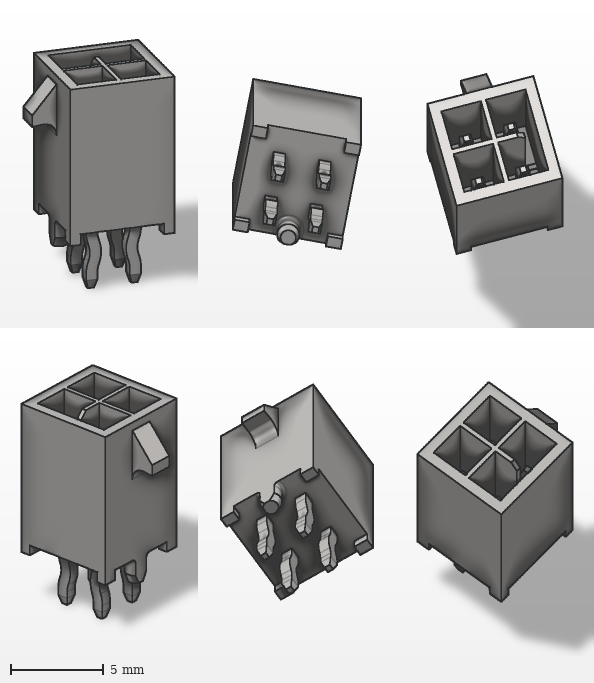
import cadquery as cq
import math


overall_height = 12.26
overlap = 0.12

housing_width = 5.95
housing_back = 3.0
housing_front = -2.98
housing_top = 9.06
foot_height = 0.61
recess_x = 4.3
recess_y = 4.79

pitch = 2.5
cell_size = 2.22
cell_floor = 2.21
grid = [-pitch / 2, pitch / 2]

opening_width = 0.7
opening_bevel_width = 0.4
opening_bevel_depth = 0.45
opening_sill_height = 0.12

latch_width = 1.43
latch_reach = 1.4
latch_top = housing_top - 0.5
latch_nose_top = housing_top - 2.13
latch_nose_bottom = housing_top - 2.8
latch_bottom = housing_top - 3.46
latch_arc_radius = 0.74

peg_radius = 0.6
peg_tip_radius = 0.42
peg_fillet = 0.23
peg_flat_distance = 0.39
peg_axis_y = housing_front + peg_flat_distance
peg_taper_top = -0.42
peg_bottom = -0.98

pin_width = 0.65
pin_tip_width = 0.34
pin_tip_length = 0.54
pin_recess = 2.45
pin_top = housing_top - pin_recess
pin_bottom = housing_top - overall_height
bend_radius = 1.63
bend_offset = 0.21
bend_middle = -1.1


def box(x_min, x_max, y_min, y_max, z_min, z_max):
    size = (x_max - x_min, y_max - y_min, z_max - z_min)
    return cq.Workplane("XY").box(*size, centered=False).translate((x_min, y_min, z_min))


def centred_box(x_size, y_size, z_min, z_max, x=0, y=0):
    return box(x - x_size / 2, x + x_size / 2, y - y_size / 2, y + y_size / 2, z_min, z_max)


def make_housing():
    half_width = housing_width / 2
    housing = box(-half_width, half_width, housing_front, housing_back, 0, housing_top)

    housing_depth = housing_back - housing_front
    housing = housing.cut(centred_box(recess_x, 2 * housing_depth, 0, foot_height))
    housing = housing.cut(centred_box(2 * housing_width, recess_y, 0, foot_height))

    for x in grid:
        for y in grid:
            housing = housing.cut(centred_box(cell_size, cell_size, cell_floor, housing_top, x, y))
    return housing


def make_partition_opening():
    sill_z = cell_floor + opening_sill_height
    wall_x = -(pitch + cell_size) / 2
    edge_x = wall_x + opening_width
    partition = pitch - cell_size
    return (
        cq.Workplane("XZ", origin=(0, partition / 2, 0))
        .moveTo(wall_x, sill_z)
        .lineTo(edge_x, sill_z)
        .lineTo(edge_x, housing_top - opening_bevel_depth)
        .lineTo(edge_x + opening_bevel_width, housing_top)
        .lineTo(wall_x, housing_top)
        .close()
        .extrude(partition)
    )


def make_latch():
    nose_y = housing_front - latch_reach
    arc_end_y = housing_front - latch_arc_radius
    arc_centre_z = latch_bottom
    arc_end_z = arc_centre_z + latch_arc_radius
    diagonal = latch_arc_radius * math.sqrt(0.5)
    root_y = housing_front + overlap
    return (
        cq.Workplane("YZ", origin=(-latch_width / 2, 0, 0))
        .moveTo(root_y, latch_top)
        .lineTo(housing_front, latch_top)
        .lineTo(nose_y, latch_nose_top)
        .lineTo(nose_y, latch_nose_bottom)
        .lineTo(arc_end_y, arc_end_z)
        .threePointArc((arc_end_y + diagonal, arc_centre_z + diagonal), (housing_front, latch_bottom))
        .lineTo(root_y, latch_bottom)
        .close()
        .extrude(latch_width)
    )


def make_peg():
    flare_radius = peg_radius + peg_fillet
    flare_bottom = foot_height - peg_fillet
    inset = peg_fillet * math.sqrt(0.5)
    root_z = foot_height + overlap
    peg = (
        cq.Workplane("XZ")
        .moveTo(0, root_z)
        .lineTo(flare_radius, root_z)
        .lineTo(flare_radius, foot_height)
        .threePointArc((flare_radius - inset, flare_bottom + inset), (peg_radius, flare_bottom))
        .lineTo(peg_radius, peg_taper_top)
        .lineTo(peg_tip_radius, peg_bottom)
        .lineTo(0, peg_bottom)
        .close()
        .revolve(360, (0, 0, 0), (0, 1, 0))
        .translate((0, peg_axis_y, 0))
    )
    keep = box(-housing_width, housing_width, housing_front, housing_back, peg_bottom, housing_top)
    return peg.intersect(keep)


def make_pin_tip(z_base, direction):
    taper = math.degrees(math.atan((pin_width - pin_tip_width) / 2 / pin_tip_length))
    tip = cq.Workplane("XY").rect(pin_width, pin_width).extrude(pin_tip_length, taper=taper)
    if direction < 0:
        tip = tip.mirror("XY")
    return tip.translate((0, 0, z_base))


def make_pin():
    """Pin on the Z axis with a kink that bulges toward +Y."""
    angle = math.acos(1 - bend_offset / (2 * bend_radius))
    arc_height = bend_radius * math.sin(angle)
    mid_height = bend_radius * math.sin(angle / 2)
    mid_offset = bend_radius * (1 - math.cos(angle / 2))
    bend_top = bend_middle + 2 * arc_height
    bend_bottom = bend_middle - 2 * arc_height
    half_offset = bend_offset / 2

    shank_top = pin_top - pin_tip_length
    shank_bottom = pin_bottom + pin_tip_length
    path = (
        cq.Workplane("YZ")
        .moveTo(0, shank_top)
        .lineTo(0, bend_top)
        .threePointArc((mid_offset, bend_top - mid_height), (half_offset, bend_middle + arc_height))
        .threePointArc((bend_offset, bend_middle), (half_offset, bend_middle - arc_height))
        .threePointArc((mid_offset, bend_bottom + mid_height), (0, bend_bottom))
        .lineTo(0, shank_bottom)
    )
    shank = cq.Workplane("XY", origin=(0, 0, shank_top)).rect(pin_width, pin_width).sweep(path)
    return shank.union(make_pin_tip(shank_top, 1)).union(make_pin_tip(shank_bottom, -1))


result = make_housing().cut(make_partition_opening()).union(make_latch()).union(make_peg())

front_pin = make_pin()
back_pin = front_pin.mirror("XZ")
for pin_x in grid:
    result = result.union(front_pin.translate((pin_x, -pitch / 2, 0)))
    result = result.union(back_pin.translate((pin_x, pitch / 2, 0)))